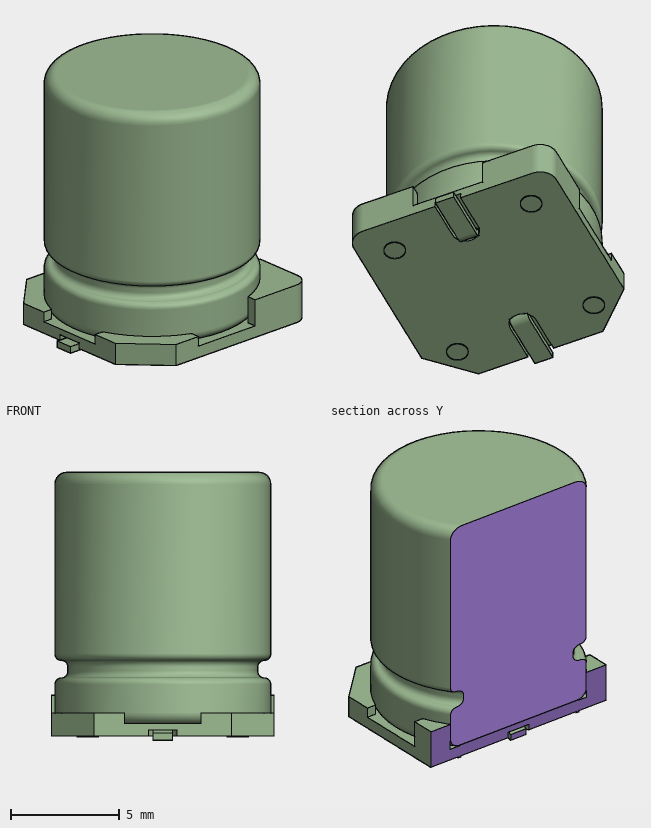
import cadquery as cq

top_z = 12.4
base_bottom_z = 0.2
base_low_z = 1.26
base_high_z = 2.1
can_bottom_z = 0.78

can_radius = 10.0 / 2
can_top_round = 0.55
can_foot_round = 0.48
groove_bottom_z = 2.59
groove_round = 0.3
groove_neck_height = 0.21

base_width = 10.3
corner_chamfer = 1.98
corner_round = 0.83
edge_slot_width = 3.53
foot_diameter = 1.0
foot_height = 0.05
foot_offset = 3.47

terminal_span = 11.0
terminal_width = 0.92
terminal_thickness = 0.33
terminal_bend_outer = 1.0 / 2
terminal_bend_inner = 0.05
terminal_inner_y = 2.55
channel_width = 1.3
channel_top_z = 0.48


def make_can():
    """Can turned about Z, with rounded rims and a rounded groove near its foot."""
    top_radius = can_radius - can_top_round
    foot_radius = can_radius - can_foot_round
    middle_radius = can_radius - groove_round
    neck_radius = middle_radius - groove_round
    neck_bottom_z = groove_bottom_z + 2 * groove_round
    neck_top_z = neck_bottom_z + groove_neck_height
    groove_top_z = neck_top_z + 2 * groove_round
    profile = (
        cq.Workplane("XZ")
        .moveTo(0, can_bottom_z)
        .lineTo(foot_radius, can_bottom_z)
        .radiusArc((can_radius, can_bottom_z + can_foot_round), -can_foot_round)
        .lineTo(can_radius, groove_bottom_z)
        .radiusArc((middle_radius, groove_bottom_z + groove_round), -groove_round)
        .radiusArc((neck_radius, neck_bottom_z), groove_round)
        .lineTo(neck_radius, neck_top_z)
        .radiusArc((middle_radius, neck_top_z + groove_round), groove_round)
        .radiusArc((can_radius, groove_top_z), -groove_round)
        .lineTo(can_radius, top_z - can_top_round)
        .radiusArc((top_radius, top_z), -can_top_round)
        .lineTo(0, top_z)
        .close()
    )
    return profile.revolve(360, (0, 0, 0), (0, 1, 0))


def upright_box(width, depth, bottom_level, top_level, y=0.0):
    """Upright box centred on (0, y) between two levels."""
    return (
        cq.Workplane("XY", origin=(0, y, bottom_level))
        .rect(width, depth)
        .extrude(top_level - bottom_level)
    )


def make_plate():
    """Base plate: two chamfered corners at -Y, two rounded raised corners at +Y."""
    plate = upright_box(base_width, base_width, base_bottom_z, base_high_z)
    plate = plate.edges("|Z and <Y").chamfer(corner_chamfer)
    plate = plate.edges("|Z and >Y").fillet(corner_round)

    raised_start_y = edge_slot_width / 2
    low_depth = raised_start_y + base_width / 2
    low_centre_y = raised_start_y - low_depth / 2
    plate = plate.cut(upright_box(base_width, low_depth, base_low_z, base_high_z, y=low_centre_y))

    plate = plate.cut(upright_box(edge_slot_width, base_width, can_bottom_z, base_high_z))
    plate = plate.cut(upright_box(base_width, edge_slot_width, can_bottom_z, base_high_z))

    recess = (
        cq.Workplane("XY", origin=(0, 0, can_bottom_z))
        .circle(can_radius)
        .extrude(base_high_z - can_bottom_z)
    )
    return plate.cut(recess)


def make_feet():
    """Four low round feet under the base."""
    return (
        cq.Workplane("XY", origin=(0, 0, base_bottom_z - foot_height))
        .rect(2 * foot_offset, 2 * foot_offset, forConstruction=True)
        .vertices()
        .circle(foot_diameter / 2)
        .extrude(foot_height)
    )


def make_channel():
    """Channel for the +Y terminal: open at the edge, with a semicircular inner end."""
    half_width = channel_width / 2
    end_centre_y = terminal_inner_y + half_width
    return (
        cq.Workplane("XY", origin=(0, 0, base_bottom_z))
        .moveTo(half_width, base_width / 2)
        .lineTo(half_width, end_centre_y)
        .threePointArc((0, terminal_inner_y), (-half_width, end_centre_y))
        .lineTo(-half_width, base_width / 2)
        .close()
        .extrude(channel_top_z - base_bottom_z)
    )


def make_terminal():
    """+Y terminal: flat strip along Y, bent up at its inner end into the base."""
    tip_y = terminal_span / 2
    bend_start_y = terminal_inner_y + terminal_bend_outer
    leg_outer_y = terminal_inner_y + terminal_thickness
    inner_bend_y = leg_outer_y + terminal_bend_inner
    inner_bend_z = terminal_thickness + terminal_bend_inner
    return (
        cq.Workplane("YZ", origin=(-terminal_width / 2, 0, 0))
        .moveTo(tip_y, 0)
        .lineTo(bend_start_y, 0)
        .radiusArc((terminal_inner_y, terminal_bend_outer), terminal_bend_outer)
        .lineTo(terminal_inner_y, can_bottom_z)
        .lineTo(leg_outer_y, can_bottom_z)
        .lineTo(leg_outer_y, inner_bend_z)
        .radiusArc((inner_bend_y, terminal_thickness), -terminal_bend_inner)
        .lineTo(tip_y, terminal_thickness)
        .close()
        .extrude(terminal_width)
    )


def make_base():
    """Base plate with its feet and the two terminals set into its underside."""
    base = make_plate().union(make_feet())
    for turn in (0, 180):
        base = base.cut(make_channel().rotate((0, 0, 0), (0, 0, 1), turn))
        base = base.union(make_terminal().rotate((0, 0, 0), (0, 0, 1), turn))
    return base


can = make_can()
base = make_base()

result = cq.Compound.makeCompound([can.val(), base.val()])